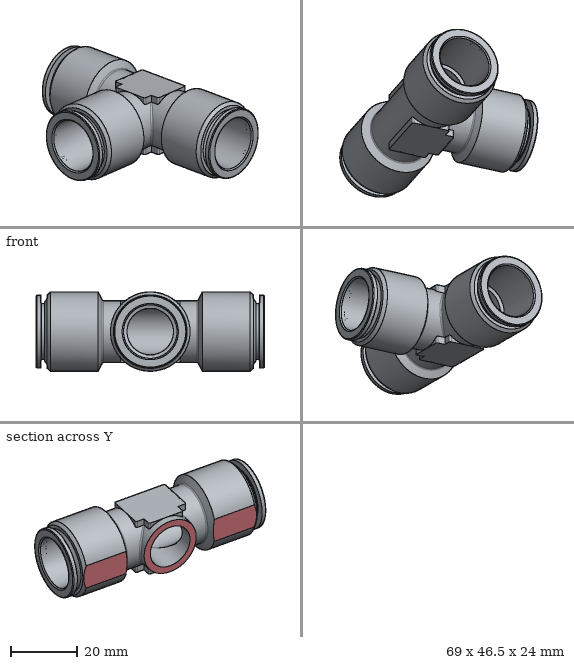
import cadquery as cq

ARM_LENGTH = 34.5
ARM_ANGLES = (0, 180, 270)
TUBE_DIAMETER = 18.8
TUBE_RADIUS = TUBE_DIAMETER / 2
SMALL_FILLET = 0.5

COLLAR_RADIUS = 22.0 / 2
COLLAR_THICKNESS = 1.5
COLLAR_CHAMFER = 0.3
COLLAR_ROOT_CHAMFER = 0.2
NECK_RADIUS = 17.0 / 2

SLEEVE_RADIUS = 24.0 / 2
SLEEVE_START = 3.4
SLEEVE_END = 18.8
SLEEVE_CHAMFER_LENGTH = 1.05
SLEEVE_CHAMFER_DEPTH = 0.9
SHOULDER_RUN = 1.4

MOUTH_CONE_START = 2.55
MOUTH_CONE_SMALL_RADIUS = 8.8
MOUTH_CONE_LARGE_RADIUS = 10.0

THROUGH_BORE_RADIUS = 14.0 / 2
SOCKET_BORE_RADIUS = 16.15 / 2
ENTRY_RADIUS = 17.0 / 2
ENTRY_CHAMFER = ENTRY_RADIUS - SOCKET_BORE_RADIUS
SEAT_DEPTH = 17.25
SEAT_RUN = 0.4

PAD_REACH = 9.0
PAD_HALF_WIDTH = 6.1


def revolve_profile(profile):
    """Revolve (distance from centre, radius) points about the X axis."""
    return cq.Workplane("XY").polyline(profile).close().revolve(360, (0, 0, 0), (1, 0, 0))


def on_each_arm(shape):
    """Copies of a shape built along +X, turned about Z onto every arm."""
    return [shape.rotate((0, 0, 0), (0, 0, 1), angle) for angle in ARM_ANGLES]


def pad_block():
    """T-shaped block giving the flat pads above and below the junction."""
    crossbar = cq.Workplane("XY").box(2 * PAD_REACH, 2 * PAD_HALF_WIDTH, TUBE_DIAMETER)
    crossbar = crossbar.edges("|Z").fillet(SMALL_FILLET)
    stem = cq.Workplane("XY").box(
        2 * PAD_HALF_WIDTH, PAD_REACH, TUBE_DIAMETER, centered=(True, False, True)
    )
    stem = stem.translate((0, -PAD_REACH, 0)).edges("|Z and <Y").fillet(SMALL_FILLET)
    return crossbar.union(stem)


def tube():
    """Plain solid tube from the centre to the back of the sleeve."""
    return cq.Workplane("YZ").circle(TUBE_RADIUS).extrude(ARM_LENGTH - SLEEVE_END)


def junction():
    """Pad block and tubes, with the elliptical creases between tubes rounded."""
    body = pad_block()
    for arm_tube in on_each_arm(tube()):
        body = body.union(arm_tube)
    return body.edges("%ELLIPSE").fillet(SMALL_FILLET)


def sleeve():
    """Solid collar, neck and socket sleeve, with a coned shoulder blended into the tube."""
    collar_back = ARM_LENGTH - COLLAR_THICKNESS
    cone_start = ARM_LENGTH - MOUTH_CONE_START
    sleeve_front = ARM_LENGTH - SLEEVE_START
    sleeve_back = ARM_LENGTH - SLEEVE_END
    shoulder_end = sleeve_back - SHOULDER_RUN
    tube_overlap = shoulder_end - SMALL_FILLET
    profile = [
        (tube_overlap, 0),
        (tube_overlap, TUBE_RADIUS),
        (shoulder_end, TUBE_RADIUS),
        (sleeve_back, SLEEVE_RADIUS),
        (sleeve_front - SLEEVE_CHAMFER_LENGTH, SLEEVE_RADIUS),
        (sleeve_front, SLEEVE_RADIUS - SLEEVE_CHAMFER_DEPTH),
        (sleeve_front, MOUTH_CONE_LARGE_RADIUS),
        (cone_start, MOUTH_CONE_SMALL_RADIUS),
        (cone_start, NECK_RADIUS),
        (collar_back - COLLAR_ROOT_CHAMFER, NECK_RADIUS),
        (collar_back, NECK_RADIUS + COLLAR_ROOT_CHAMFER),
        (collar_back, COLLAR_RADIUS),
        (ARM_LENGTH - COLLAR_CHAMFER, COLLAR_RADIUS),
        (ARM_LENGTH, COLLAR_RADIUS - COLLAR_CHAMFER),
        (ARM_LENGTH, 0),
    ]
    shoulder_edge = cq.selectors.NearestToPointSelector((shoulder_end, 0, 0))
    return revolve_profile(profile).edges(shoulder_edge).fillet(SMALL_FILLET)


def bore():
    """Through bore, coned tube seat, socket bore and chamfered entry."""
    seat = ARM_LENGTH - SEAT_DEPTH
    profile = [
        (0, 0),
        (0, THROUGH_BORE_RADIUS),
        (seat - SEAT_RUN, THROUGH_BORE_RADIUS),
        (seat, SOCKET_BORE_RADIUS),
        (ARM_LENGTH - ENTRY_CHAMFER, SOCKET_BORE_RADIUS),
        (ARM_LENGTH, ENTRY_RADIUS),
        (ARM_LENGTH, 0),
    ]
    return revolve_profile(profile)


result = junction()
for arm_sleeve in on_each_arm(sleeve()):
    result = result.union(arm_sleeve)
for arm_bore in on_each_arm(bore()):
    result = result.cut(arm_bore)